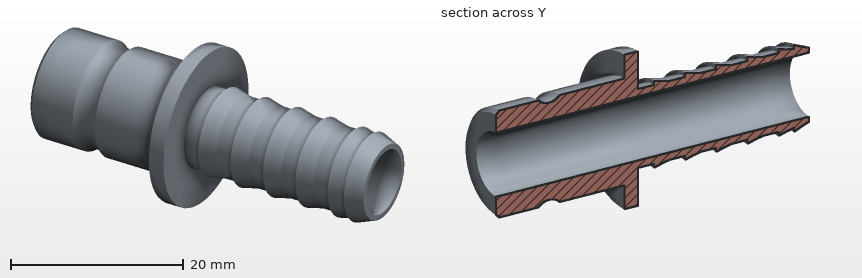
import cadquery as cq

total_length = 44.0
plug_length = 18.0
flange_thickness = 2.0
nose_chamfer = 0.5
groove_start = 6.0
groove_width = 3.0

plug_diameter = 13.5
flange_diameter = 19.5
tail_diameter = 10.0
barb_diameter = 11.0
tip_diameter = 9.35
bore_diameter = 8.0

groove_depth = 0.6
barb_count = 5

tail_start = plug_length + flange_thickness
tail_step = (total_length - tail_start) / (2 * barb_count + 1)
tip_start = total_length - tail_step

plug_radius = plug_diameter / 2
flange_radius = flange_diameter / 2
tail_radius = tail_diameter / 2
barb_radius = barb_diameter / 2
tip_radius = tip_diameter / 2
bore_radius = bore_diameter / 2


def add_plug(profile):
    """Trace the chamfered plug with its round locking groove."""
    groove_bottom = (groove_start + groove_width / 2, plug_radius - groove_depth)
    groove_end = (groove_start + groove_width, plug_radius)
    return (
        profile.lineTo(0, plug_radius - nose_chamfer)
        .lineTo(nose_chamfer, plug_radius)
        .lineTo(groove_start, plug_radius)
        .threePointArc(groove_bottom, groove_end)
        .lineTo(plug_length, plug_radius)
    )


def add_flange(profile):
    """Trace the flat stop flange down to the hose tail."""
    return (
        profile.lineTo(plug_length, flange_radius)
        .lineTo(tail_start, flange_radius)
        .lineTo(tail_start, tail_radius)
    )


def add_barb(profile, start):
    """Trace one barb: a square step up, then a taper back to the tail."""
    return (
        profile.lineTo(start, tail_radius)
        .lineTo(start, barb_radius)
        .lineTo(start + tail_step, tail_radius)
    )


def add_tip(profile):
    """Trace the tapered tip that leads the hose on."""
    return (
        profile.lineTo(tip_start, barb_radius)
        .lineTo(total_length, tip_radius)
        .lineTo(total_length, bore_radius)
    )


half_section = cq.Workplane("XY").moveTo(0, bore_radius)
half_section = add_plug(half_section)
half_section = add_flange(half_section)
for index in range(barb_count):
    barb_start = tail_start + (2 * index + 1) * tail_step
    half_section = add_barb(half_section, barb_start)
half_section = add_tip(half_section)

result = half_section.close().revolve(360, (0, 0, 0), (1, 0, 0))